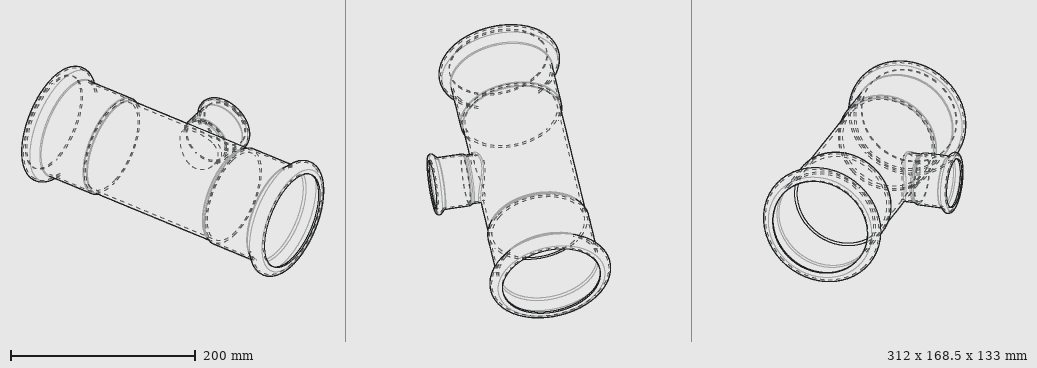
import cadquery as cq
import math

run_length = 312.0
run_diameter = 108.0
run_bore = 102.0
run_socket_wall = 2.0
run_socket = {
    "outer_radius": run_diameter / 2 + run_socket_wall,
    "bore_radius": run_diameter / 2,
    "bead_radius": 66.5,
    "bead_round": 7.5,
    "bead_root_round": 2.0,
    "depth": 76.6,
    "step_root_round": 2.0,
    "neck_outer_radius": run_diameter / 2,
    "neck_bore_radius": run_bore / 2,
    "neck_end": run_length / 2,
}

branch_reach = 102.0
branch_diameter = 53.4
branch_wall = 1.8
branch_root_fillet = 2.0
branch_socket = {
    "outer_radius": branch_diameter / 2 + branch_wall,
    "bore_radius": branch_diameter / 2,
    "bead_radius": 33.5,
    "bead_round": 3.0,
    "bead_root_round": 1.0,
    "depth": 37.0,
    "step_root_round": 3.5,
    "neck_outer_radius": branch_diameter / 2,
    "neck_bore_radius": branch_diameter / 2 - branch_wall,
    "neck_end": branch_reach,
}

bead_slope = math.radians(45)
step_slope = math.radians(30)
step_crest_round = 2.0
upright = math.pi / 2


def arc_points(center, radius, start, end):
    """Middle and end points of an arc, angles in radians."""
    center_x, center_r = center
    angles = ((start + end) / 2, end)
    return [(center_x + radius * math.cos(a), center_r + radius * math.sin(a)) for a in angles]


def step_down(wire, s):
    """Append the rounded cone where the outside of a socket narrows to its neck."""
    start = s["depth"]
    start_radius = s["outer_radius"]
    end_radius = s["neck_outer_radius"]
    root_round = s["step_root_round"]
    crest_drop = step_crest_round * (1 - math.cos(step_slope))
    root_drop = root_round * (1 - math.cos(step_slope))
    cone_drop = start_radius - end_radius - crest_drop - root_drop
    root_start_x = start + step_crest_round * math.sin(step_slope) + cone_drop / math.tan(step_slope)
    root_center = (root_start_x + root_round * math.sin(step_slope), end_radius + root_round)
    crest_center = (start, start_radius - step_crest_round)
    crest = arc_points(crest_center, step_crest_round, upright, upright - step_slope)
    root = arc_points(root_center, root_round, -upright - step_slope, -upright)
    wire = wire.threePointArc(*crest).lineTo(root_start_x, end_radius + root_drop)
    return wire.threePointArc(*root)


def socket_profile(wire, s, mouth, shrink):
    """Append bead, slope and socket wall, all set inward from the outer shape by shrink."""
    bead_center = (s["bead_round"], s["bead_radius"] - s["bead_round"])
    radius = s["outer_radius"] - shrink
    root_round = s["bead_root_round"] + shrink
    crest = arc_points(bead_center, s["bead_round"] - shrink, math.pi, upright - bead_slope)
    crest_x, crest_r = crest[-1]
    slope_end_r = radius + root_round * (1 - math.cos(bead_slope))
    slope_end_x = crest_x + (crest_r - slope_end_r) / math.tan(bead_slope)
    root_center = (slope_end_x + root_round * math.sin(bead_slope), radius + root_round)
    root = arc_points(root_center, root_round, -upright - bead_slope, -upright)
    wire = wire.lineTo(mouth, bead_center[1]).threePointArc(*crest)
    return wire.lineTo(slope_end_x, slope_end_r).threePointArc(*root).lineTo(s["depth"], radius)


def spin_with_neck(wire, neck_radius, neck_end):
    """Run the half profile along the neck, close it on the X axis and revolve it."""
    outline = wire.lineTo(neck_end, neck_radius).lineTo(neck_end, 0).close()
    return outline.revolve(360, (0, 0, 0), (1, 0, 0))


def socket_outside(s):
    """Solid envelope of a socket and neck, mouth at X = 0 and axis along X."""
    wire = socket_profile(cq.Workplane("XY").moveTo(0, 0), s, 0, 0)
    wire = step_down(wire, s)
    return spin_with_neck(wire, s["neck_outer_radius"], s["neck_end"])


def socket_inside(s):
    """Hollow of a socket and neck: mouth lip, seal groove, bore and the flat pipe stop."""
    wall = s["outer_radius"] - s["bore_radius"]
    wire = cq.Workplane("XY").moveTo(0, 0).lineTo(0, s["bore_radius"]).lineTo(wall, s["bore_radius"])
    wire = socket_profile(wire, s, wall, wall)
    wire = wire.lineTo(s["depth"], s["neck_bore_radius"])
    return spin_with_neck(wire, s["neck_bore_radius"], s["neck_end"])


def on_run_ends(half):
    """Place a half-run shape at the -X end and its mirror at the +X end."""
    left = half.translate((-run_length / 2, 0, 0))
    return left.union(left.mirror("YZ"))


def on_branch(shape):
    """Turn a socket shape so its mouth faces +Y at the branch reach."""
    return shape.rotate((0, 0, 0), (0, 0, 1), -90).translate((0, branch_reach, 0))


def branch_root_edges(body):
    """The saddle-shaped edge where the branch neck meets the run."""
    margin = 1.0
    reach = branch_diameter / 2 + margin
    root_box = cq.selectors.BoxSelector(
        (-reach, run_diameter / 4, -reach),
        (reach, run_diameter / 2 + margin, reach),
        boundingbox=True,
    )
    return body.edges(root_box)


outside = on_run_ends(socket_outside(run_socket)).union(on_branch(socket_outside(branch_socket)))
outside = branch_root_edges(outside).fillet(branch_root_fillet)
run_hollow = on_run_ends(socket_inside(run_socket))
branch_hollow = on_branch(socket_inside(branch_socket))
result = outside.cut(run_hollow).cut(branch_hollow)